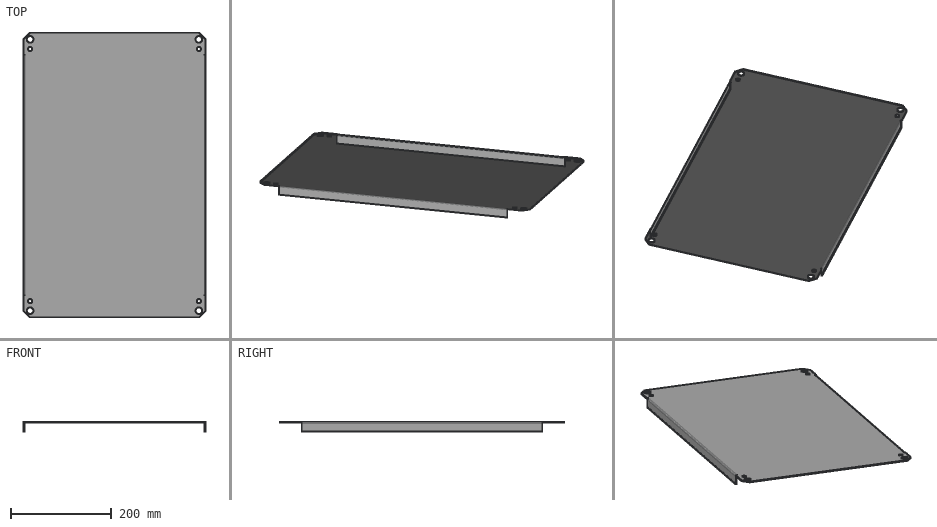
import cadquery as cq

WIDTH = 360.68
LENGTH = 563.88
HEIGHT = 19.66
THICKNESS = 2.28
BEND_INNER_RADIUS = 0.52
BEND_OUTER_RADIUS = BEND_INNER_RADIUS + THICKNESS

CORNER_CLIP = 12.7
FLANGE_END_SETBACK = 43.66
FLANGE_LENGTH = LENGTH - 2 * FLANGE_END_SETBACK

LARGE_HOLE_DIAMETER = 12.7
SMALL_HOLE_DIAMETER = 7.94
HOLE_EDGE_INSET = 13.2
HOLE_PITCH = 19.05


def centered_block(width, length, height):
    """Block centred on the Z axis, standing on Z = 0."""
    return cq.Workplane("XY").box(width, length, height, centered=(True, True, False))


def flat_sheet():
    """Sheet with clipped corners; its top face lies at Z = HEIGHT."""
    sheet = centered_block(WIDTH, LENGTH, THICKNESS)
    sheet = sheet.translate((0, 0, HEIGHT - THICKNESS))
    return sheet.edges("|Z").chamfer(CORNER_CLIP)


def folded_channel():
    """Stretch of sheet between the flange ends, with both edges folded down."""
    outer = centered_block(WIDTH, FLANGE_LENGTH, HEIGHT)
    outer = outer.edges("|Y and >Z").fillet(BEND_OUTER_RADIUS)
    inner = centered_block(WIDTH - 2 * THICKNESS, FLANGE_LENGTH, HEIGHT - THICKNESS)
    inner = inner.edges("|Y and >Z").fillet(BEND_INNER_RADIUS)
    return outer.cut(inner)


def corner_holes(diameter, inset_y):
    """Through-hole cutters of one size, one near each corner of the sheet."""
    return (
        cq.Workplane("XY")
        .rect(WIDTH - 2 * HOLE_EDGE_INSET, LENGTH - 2 * inset_y, forConstruction=True)
        .vertices()
        .circle(diameter / 2)
        .extrude(HEIGHT)
    )


flange_zone = centered_block(WIDTH, FLANGE_LENGTH, HEIGHT)

panel = flat_sheet().cut(flange_zone).union(folded_channel())
panel = panel.cut(corner_holes(LARGE_HOLE_DIAMETER, HOLE_EDGE_INSET))
panel = panel.cut(corner_holes(SMALL_HOLE_DIAMETER, HOLE_EDGE_INSET + HOLE_PITCH))

result = panel